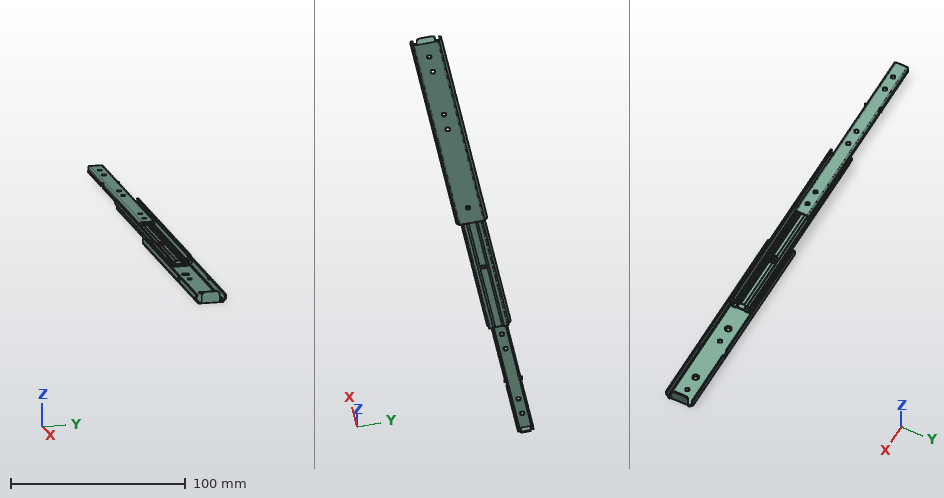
import cadquery as cq
import math

SHEET = 0.8
BEND_RADIUS = 0.95
ARC_MIDDLE = 1 - math.sqrt(0.5)
HOLE_RADIUS = 1.22
CUT = 27.2

INNER_START, INNER_END = 0.0, 122.5
MIDDLE_START, MIDDLE_END = 73.5, 197.0
OUTER_START, OUTER_END = 147.0, 271.5
RETAINER_SETBACK = 1.5
INNER_RETAINER_END = 194.5
OUTER_RETAINER_END = 196.0
SLIDE_END = 272.0

MIDDLE_BOTTOM = 1.5
OUTER_LIP_TOP = 5.03
INNER_FOOT = 4.22
SLIDE_TOP = 7.5

INNER_HOLES = [10.0, 20.0, 55.0, 65.0, 105.0, 114.8]
ACCESS_HOLES = [114.8, 157.3]
OUTER_HOLES = [222.0, 262.0]
OUTER_COUNTERSUNK_HOLES = [212.0, 252.0]
COUNTERSINK_RADIUS = 2.05
DIMPLE_RADIUS = 2.7

INNER_WALL = 4.4
INNER_FOOT_WALL = 4.5
INNER_FLARE_TOP = 5.03
INNER_TAB_HALF_WIDTH = 2.85
INNER_TAB_BOTTOM = 2.58
INNER_NOTCH = (32.0, 35.6)
INNER_NOTCH_TOP = 6.5
EAR = (34.0, 34.8)
EAR_TOP = 6.8
EAR_REACH = 5.3

MIDDLE_WALL = 5.85
HUMP_RISE = 0.5
HUMP_TOP_HALF = 2.05
HUMP_FOOT_HALF = 3.3
RACE_BOTTOM = 4.22
RACE_MIDDLE = 6.0
RACE_OUTSIDE, RACE_INSIDE = 6.95, 6.3
LIP_OUTSIDE, LIP_INSIDE = 6.8, 6.0

RETAINER_SHEET = 0.4
RIDGE_TOP = 4.4
RIDGE_STEP = 3.5
RIDGE_TOP_HALF = 1.22
STEP_INSIDE, STEP_OUTSIDE = 2.7, 3.0
RIDGE_FOOT_HALF = 4.4
RIDGE_INSET = 0.14
WING_FOOT = 4.75
WING_TIP_INSIDE, WING_TIP_OUTSIDE = 5.85, 6.12
WING_TOP = 6.5

CARRIER_BOTTOM = 0.95
CARRIER_INSIDE = 6.0
CARRIER_FOOT = 6.5
CARRIER_SHOULDER = 6.8
CARRIER_BULGE, CARRIER_BULGE_LEVEL = 8.0, 3.3
CARRIER_TIP, CARRIER_TOP = 7.5, 4.5
CARRIER_INSIDE_TOP = 3.8

OUTER_HALF_WIDTH = 9.12
OUTER_BASE_WALL = 7.75
OUTER_RACE_MIDDLE = 3.3
OUTER_LIP_OUTSIDE, OUTER_LIP_INSIDE = 8.5, 7.75
OUTER_BASE_INSIDE = 6.95
END_TAB_HALF_WIDTH = 5.3
END_TAB_TOP = 6.67
END_TAB_CORNER = 2.2
END_LUG_INSIDE, END_LUG_OUTSIDE = 6.0, 6.8

MIDDLE_NOTCH_START, MIDDLE_NOTCH_FLOOR = 159.5, 5.85
OUTER_NOTCH_START, OUTER_NOTCH_FLOOR = 230.0, 3.5
NOTCH_LENGTH = 3.3
NOTCH_STEP = 0.8


def prism(half_section, start, end):
    """Mirror an open half section about the XZ plane and extrude it along X."""
    return half_section.mirrorY().extrude(end - start)


def section_plane(start):
    """Plane across the slide, with its first axis along Y and its second along Z."""
    return cq.Workplane("YZ", origin=(start, 0, 0))


def block(x_range, y_range, z_range):
    """Box given by its limits along each axis."""
    limits = (x_range, y_range, z_range)
    size = [high - low for low, high in limits]
    centre = [(high + low) / 2 for low, high in limits]
    return cq.Workplane("XY").box(*size).translate(tuple(centre))


def hole_pins(positions, radius=HOLE_RADIUS, bottom=0.0, height=CUT):
    """Upright round pins on the centre line."""
    plane = cq.Workplane("XY", origin=(0, 0, bottom))
    return plane.pushPoints([(x, 0) for x in positions]).circle(radius).extrude(height)


def lip_notches(start, floor):
    """Cutter for a stepped notch down into both lips of a rail."""
    middle = start + NOTCH_LENGTH / 2
    shallow = block((start, middle), (-CUT, CUT), (floor, CUT))
    deep = block((middle, start + NOTCH_LENGTH), (-CUT, CUT), (floor - NOTCH_STEP, CUT))
    return shallow.union(deep)


def make_inner_rail():
    corner_mid = BEND_RADIUS * ARC_MIDDLE
    inside = INNER_WALL - SHEET
    half = (
        section_plane(INNER_START)
        .moveTo(0, SLIDE_TOP)
        .lineTo(INNER_WALL - BEND_RADIUS, SLIDE_TOP)
        .threePointArc(
            (INNER_WALL - corner_mid, SLIDE_TOP - corner_mid),
            (INNER_WALL, SLIDE_TOP - BEND_RADIUS),
        )
        .lineTo(INNER_WALL, INNER_FLARE_TOP)
        .lineTo(INNER_FOOT_WALL, INNER_FOOT)
        .lineTo(INNER_FOOT_WALL - SHEET, INNER_FOOT)
        .lineTo(inside, INNER_FLARE_TOP)
        .lineTo(inside, SLIDE_TOP - SHEET)
        .lineTo(0, SLIDE_TOP - SHEET)
    )
    rail = prism(half, INNER_START, INNER_END)

    rail = rail.union(
        block(
            (INNER_START, INNER_START + SHEET),
            (-INNER_TAB_HALF_WIDTH, INNER_TAB_HALF_WIDTH),
            (INNER_TAB_BOTTOM, SLIDE_TOP - SHEET / 2),
        )
    )

    rail = rail.cut(block(INNER_NOTCH, (-CUT, CUT), (0, INNER_NOTCH_TOP)))
    for side in (-1, 1):
        across = sorted((side * (INNER_WALL - SHEET), side * EAR_REACH))
        rail = rail.union(block(EAR, across, (INNER_FLARE_TOP, EAR_TOP)))
    return rail.cut(hole_pins(INNER_HOLES))


def make_middle_rail():
    corner_mid = BEND_RADIUS * ARC_MIDDLE
    web_top = MIDDLE_BOTTOM + SHEET
    inside = MIDDLE_WALL - SHEET
    half = (
        section_plane(MIDDLE_START)
        .moveTo(0, MIDDLE_BOTTOM + HUMP_RISE)
        .lineTo(HUMP_TOP_HALF, MIDDLE_BOTTOM + HUMP_RISE)
        .lineTo(HUMP_FOOT_HALF, MIDDLE_BOTTOM)
        .lineTo(MIDDLE_WALL - BEND_RADIUS, MIDDLE_BOTTOM)
        .threePointArc(
            (MIDDLE_WALL - corner_mid, MIDDLE_BOTTOM + corner_mid),
            (MIDDLE_WALL, MIDDLE_BOTTOM + BEND_RADIUS),
        )
        .lineTo(MIDDLE_WALL, RACE_BOTTOM)
        .threePointArc((RACE_OUTSIDE, RACE_MIDDLE), (LIP_OUTSIDE, SLIDE_TOP))
        .lineTo(LIP_INSIDE, SLIDE_TOP)
        .threePointArc((RACE_INSIDE, RACE_MIDDLE), (inside, RACE_BOTTOM))
        .lineTo(inside, web_top)
        .lineTo(HUMP_FOOT_HALF, web_top)
        .lineTo(HUMP_TOP_HALF, web_top + HUMP_RISE)
        .lineTo(0, web_top + HUMP_RISE)
    )
    rail = prism(half, MIDDLE_START, MIDDLE_END)
    return rail.cut(lip_notches(MIDDLE_NOTCH_START, MIDDLE_NOTCH_FLOOR)).cut(hole_pins(ACCESS_HOLES))


def make_outer_rail():
    corner_mid = BEND_RADIUS * ARC_MIDDLE
    half = (
        section_plane(OUTER_START)
        .moveTo(0, 0)
        .lineTo(OUTER_BASE_WALL - BEND_RADIUS, 0)
        .threePointArc((OUTER_BASE_WALL - corner_mid, corner_mid), (OUTER_BASE_WALL, BEND_RADIUS))
        .threePointArc((OUTER_HALF_WIDTH, OUTER_RACE_MIDDLE), (OUTER_LIP_OUTSIDE, OUTER_LIP_TOP))
        .lineTo(OUTER_LIP_INSIDE, OUTER_LIP_TOP)
        .threePointArc((OUTER_HALF_WIDTH - SHEET, OUTER_RACE_MIDDLE), (OUTER_BASE_INSIDE, SHEET))
        .lineTo(0, SHEET)
    )
    rail = prism(half, OUTER_START, OUTER_END)

    tab = block(
        (OUTER_END - SHEET, OUTER_END),
        (-END_TAB_HALF_WIDTH, END_TAB_HALF_WIDTH),
        (0, END_TAB_TOP),
    ).edges("|X and >Z").fillet(END_TAB_CORNER)
    rail = rail.union(tab)
    for side in (-1, 1):
        across = sorted((side * END_LUG_INSIDE, side * END_LUG_OUTSIDE))
        rail = rail.union(block((OUTER_END - SHEET, SLIDE_END), across, (0, SHEET)))

    rail = rail.cut(lip_notches(OUTER_NOTCH_START, OUTER_NOTCH_FLOOR))
    rail = rail.cut(hole_pins(OUTER_HOLES + [ACCESS_HOLES[1]]))
    for x in OUTER_COUNTERSUNK_HOLES:
        cone = (
            cq.Workplane("XY", origin=(x, 0, 0))
            .circle(HOLE_RADIUS)
            .workplane(offset=SHEET)
            .circle(COUNTERSINK_RADIUS)
            .loft()
        )
        rail = rail.cut(cone)
    return rail


def make_inner_retainer():
    start = MIDDLE_START + RETAINER_SETBACK
    wall = MIDDLE_WALL - SHEET
    floor = MIDDLE_BOTTOM + SHEET
    half = (
        section_plane(start)
        .moveTo(0, RIDGE_TOP)
        .lineTo(RIDGE_TOP_HALF, RIDGE_TOP)
        .lineTo(STEP_INSIDE, RIDGE_STEP)
        .lineTo(STEP_OUTSIDE, RIDGE_STEP)
        .lineTo(RIDGE_FOOT_HALF, floor + RETAINER_SHEET)
        .lineTo(WING_FOOT, floor + RETAINER_SHEET)
        .lineTo(WING_FOOT, RACE_BOTTOM)
        .lineTo(WING_TIP_INSIDE, WING_TOP)
        .lineTo(WING_TIP_OUTSIDE, WING_TOP)
        .lineTo(wall, RACE_BOTTOM)
        .lineTo(wall, floor)
        .lineTo(RIDGE_FOOT_HALF - RIDGE_INSET, floor)
        .lineTo(STEP_OUTSIDE - RIDGE_INSET, RIDGE_STEP - RETAINER_SHEET)
        .lineTo(STEP_INSIDE - RIDGE_INSET, RIDGE_STEP - RETAINER_SHEET)
        .lineTo(RIDGE_TOP_HALF - RIDGE_INSET, RIDGE_TOP - RETAINER_SHEET)
        .lineTo(0, RIDGE_TOP - RETAINER_SHEET)
    )
    retainer = prism(half, start, INNER_RETAINER_END)

    retainer = retainer.cut(hole_pins(ACCESS_HOLES, DIMPLE_RADIUS, RIDGE_STEP))
    discs = hole_pins(ACCESS_HOLES, DIMPLE_RADIUS, RIDGE_STEP - RETAINER_SHEET, RETAINER_SHEET)
    return retainer.union(discs).cut(hole_pins(ACCESS_HOLES))


def make_outer_retainer():
    start = OUTER_START + RETAINER_SETBACK
    base_top = CARRIER_BOTTOM + RETAINER_SHEET
    half = (
        section_plane(start)
        .moveTo(0, CARRIER_BOTTOM)
        .lineTo(CARRIER_FOOT, CARRIER_BOTTOM)
        .lineTo(CARRIER_SHOULDER, base_top)
        .lineTo(CARRIER_BULGE, CARRIER_BULGE_LEVEL)
        .lineTo(CARRIER_TIP, CARRIER_TOP)
        .lineTo(CARRIER_INSIDE, CARRIER_INSIDE_TOP)
        .lineTo(CARRIER_INSIDE, base_top)
        .lineTo(0, base_top)
    )
    return prism(half, start, OUTER_RETAINER_END).cut(hole_pins([ACCESS_HOLES[1]]))


inner_rail = make_inner_rail()
middle_rail = make_middle_rail()
outer_rail = make_outer_rail()
inner_retainer = make_inner_retainer()
outer_retainer = make_outer_retainer()

result = cq.Compound.makeCompound(
    [
        inner_rail.solids().val(),
        middle_rail.solids().val(),
        outer_rail.solids().val(),
        inner_retainer.solids().val(),
        outer_retainer.solids().val(),
    ]
)